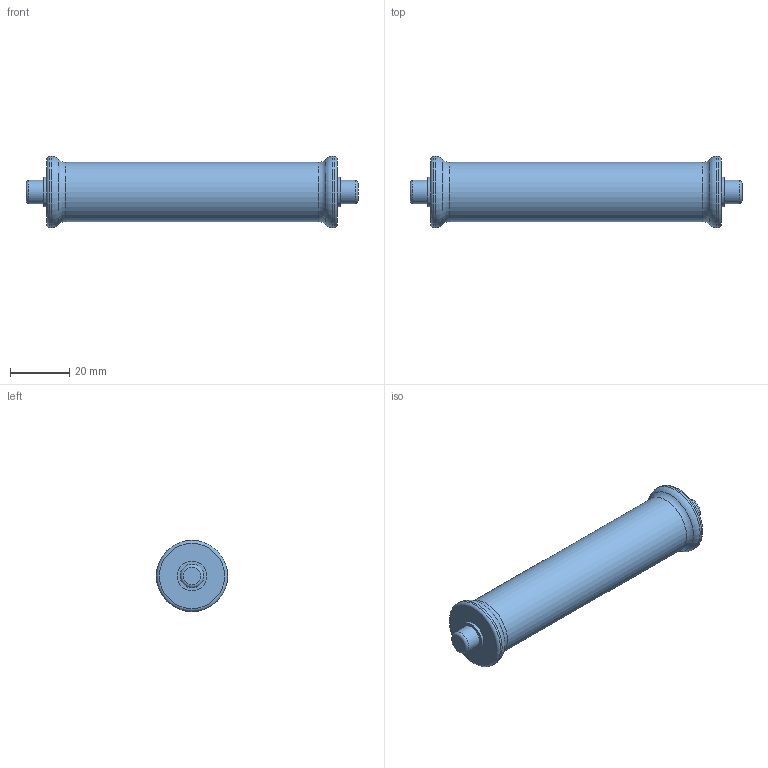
import cadquery as cq
import math

overall_length = 112.0
flange_span = 98.0
collar_width = 1.0

pin_radius = 7.9 / 2
collar_radius = 10.0 / 2
barrel_radius = 20.0 / 2
flange_radius = 24.0 / 2

pin_fillet = 1.0
flange_fillet = 1.0
flare_radius = 3.0
flare_setback = 4.0

pin_end = overall_length / 2
flange_face = flange_span / 2
collar_face = flange_face + collar_width
rim_outer = flange_face - flange_fillet
flare_middle = flange_face - flare_setback

flare_half_rise = (flange_radius - barrel_radius) / 2
flare_angle = math.acos(1 - flare_half_rise / flare_radius)
flare_half_length = flare_radius * math.sin(flare_angle)
rim_inner = flare_middle + flare_half_length
flare_end = flare_middle - flare_half_length

arc_middle_run = flare_radius * math.sin(flare_angle / 2)
arc_middle_rise = flare_radius * (1 - math.cos(flare_angle / 2))


def fillet_middle(corner_x, corner_radius, fillet):
    """Middle point of a rounded outer corner facing +X."""
    inset = fillet * (1 - math.sqrt(0.5))
    return (corner_x - inset, corner_radius - inset)


def roller_end():
    """Solid of revolution from the end of the barrel out to the +X pin end."""
    profile = (
        cq.Workplane("XY")
        .moveTo(flare_end, 0)
        .lineTo(flare_end, barrel_radius)
        .threePointArc(
            (flare_end + arc_middle_run, barrel_radius + arc_middle_rise),
            (flare_middle, barrel_radius + flare_half_rise),
        )
        .threePointArc(
            (rim_inner - arc_middle_run, flange_radius - arc_middle_rise),
            (rim_inner, flange_radius),
        )
        .lineTo(rim_outer, flange_radius)
        .threePointArc(
            fillet_middle(flange_face, flange_radius, flange_fillet),
            (flange_face, flange_radius - flange_fillet),
        )
        .lineTo(flange_face, collar_radius)
        .lineTo(collar_face, collar_radius)
        .lineTo(collar_face, pin_radius)
        .lineTo(pin_end - pin_fillet, pin_radius)
        .threePointArc(
            fillet_middle(pin_end, pin_radius, pin_fillet),
            (pin_end, pin_radius - pin_fillet),
        )
        .lineTo(pin_end, 0)
        .close()
    )
    return profile.revolve(360, (0, 0, 0), (1, 0, 0))


def barrel():
    """Plain cylinder between the two flares."""
    return cq.Workplane("YZ", origin=(-flare_end, 0, 0)).circle(barrel_radius).extrude(2 * flare_end)


right_end = roller_end()
left_end = right_end.mirror("YZ")
result = barrel().union(right_end).union(left_end)